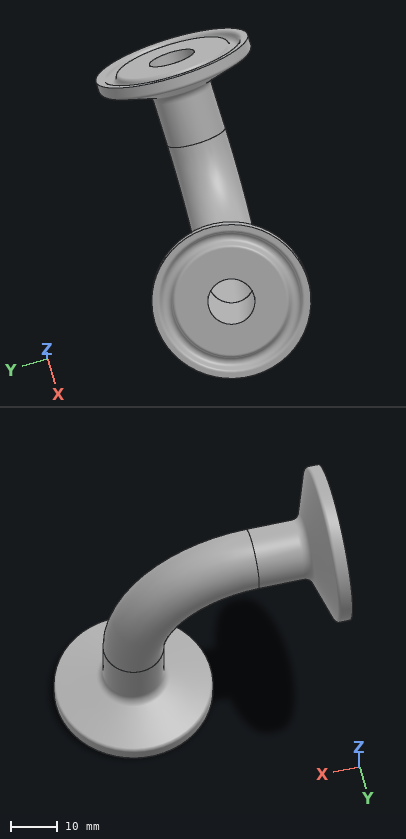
import cadquery as cq
import math

overall_length = 61.0
flange_diameter = 34.0
tube_diameter = 13.0
bore_diameter = 10.0
ferrule_length = 18.0

flange_radius = flange_diameter / 2
tube_radius = tube_diameter / 2
bore_radius = bore_diameter / 2
face_to_axis = overall_length - flange_radius
bend_radius = face_to_axis - ferrule_length

rim_width = 2.25
edge_round = 0.8
root_fillet = 2.0
cone_angle = 20.0

groove_mid_radius = 13.8
groove_half_width = 2.0
lip_round = 0.8
wall_angle = 20.0
floor_round = 1.2


def arc_step(radius, angle):
    """Run along and drop from the tangent of an arc that turns through angle degrees."""
    turn = math.radians(angle)
    return radius * math.sin(turn), radius * (1 - math.cos(turn))


def ferrule_blank():
    """Solid of revolution about Z with the bore open and the sealing face at Z = 0."""
    turn = 90 - cone_angle
    edge_mid_run, edge_mid_drop = arc_step(edge_round, turn / 2)
    edge_run, edge_drop = arc_step(edge_round, turn)
    root_mid_run, root_mid_drop = arc_step(root_fillet, turn / 2)
    root_run, root_drop = arc_step(root_fillet, turn)

    cone_outer_radius = flange_radius - edge_drop
    cone_inner_radius = tube_radius + root_drop
    cone_start = rim_width + edge_run
    cone_rise = (cone_outer_radius - cone_inner_radius) * math.tan(math.radians(cone_angle))
    cone_end = cone_start + cone_rise
    root_end = cone_end + root_run

    profile = (
        cq.Workplane("XZ")
        .moveTo(bore_radius, 0)
        .lineTo(flange_radius, 0)
        .lineTo(flange_radius, rim_width)
        .threePointArc(
            (flange_radius - edge_mid_drop, rim_width + edge_mid_run),
            (cone_outer_radius, cone_start),
        )
        .lineTo(cone_inner_radius, cone_end)
        .threePointArc((tube_radius + root_mid_drop, root_end - root_mid_run), (tube_radius, root_end))
        .lineTo(tube_radius, ferrule_length)
        .lineTo(bore_radius, ferrule_length)
        .close()
    )
    return profile.revolve(360, (0, 0, 0), (0, 1, 0))


def gasket_groove():
    """Ring cut from the sealing face, symmetric about the groove's middle radius."""
    turn = 90 - wall_angle
    lip_mid_run, lip_mid_drop = arc_step(lip_round, turn / 2)
    lip_run, lip_drop = arc_step(lip_round, turn)
    floor_half_width, floor_drop = arc_step(floor_round, turn)

    wall_half_width = groove_half_width - lip_run
    wall_depth = (wall_half_width - floor_half_width) / math.tan(math.radians(wall_angle))
    floor_start = lip_drop + wall_depth
    groove_depth = floor_start + floor_drop

    inner = groove_mid_radius - groove_half_width
    outer = groove_mid_radius + groove_half_width
    profile = (
        cq.Workplane("XZ")
        .moveTo(inner, 0)
        .threePointArc((inner + lip_mid_run, lip_mid_drop), (inner + lip_run, lip_drop))
        .lineTo(groove_mid_radius - floor_half_width, floor_start)
        .threePointArc(
            (groove_mid_radius, groove_depth),
            (groove_mid_radius + floor_half_width, floor_start),
        )
        .lineTo(outer - lip_run, lip_drop)
        .threePointArc((outer - lip_mid_run, lip_mid_drop), (outer, 0))
        .close()
    )
    return profile.revolve(360, (0, 0, 0), (0, 1, 0))


def make_ferrule():
    return ferrule_blank().cut(gasket_groove())


def make_elbow():
    """Quarter-circle tube between the inner ends of the two ferrules."""
    return (
        cq.Workplane("YZ", origin=(ferrule_length, 0, face_to_axis))
        .circle(tube_radius)
        .circle(bore_radius)
        .revolve(90, (-0.6, -bend_radius, 0), (0.6, -bend_radius, 0))
    )


ferrule_placements = [
    (90, (0, 0, face_to_axis)),
    (0, (face_to_axis, 0, 0)),
]
ferrules = []
for turn_about_y, face_centre in ferrule_placements:
    ferrule = make_ferrule().rotate((0, 0, 0), (0, 1, 0), turn_about_y).translate(face_centre)
    ferrules.append(ferrule.val())

elbow = make_elbow()

result = cq.Compound.makeCompound([elbow.val(), *ferrules])